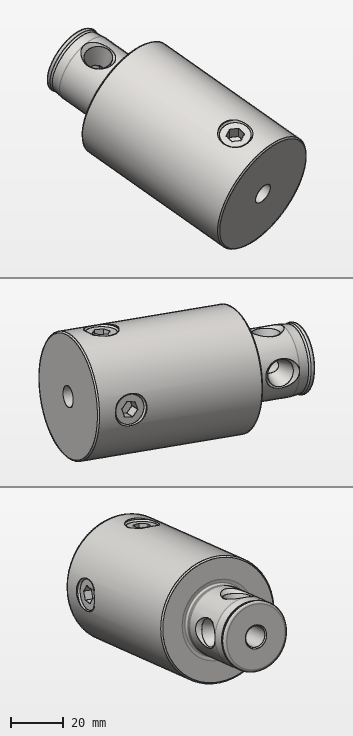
import cadquery as cq
import math

total_length = 98.0
body_radius = 25.0
body_start = 27.8
body_chamfer = 0.6

shank_radius = 13.965
rim_radius = 1.1
rim_end = 1.8
groove_end = 2.7
groove_radius = 13.3
lead_in_radius = 13.5
lead_in_end = 6.9
shank_land_end = 25.5
neck_start = 26.7
neck_radius = 13.7
relief_start = 27.2
relief_radius = 15.9
relief_fillet = 0.8

bore_radius = 4.2
bore_chamfer = 0.5

seat_x = 14.0
seat_radius = 5.44
seat_half_angle = 15.0
countersink_start = 12.25

screw_x = 83.9
screw_radius = 6.0
screw_top = 23.7
screw_length = 11.8
screw_mouth_radius = 6.7
hex_across_flats = 6.0
hex_depth = 4.9
hex_turn = -10.0

side_angles = (0, -90)


def vertical_cylinder(x, radius, bottom, top):
    """Cylinder along Z between two heights."""
    return cq.Workplane("XY", origin=(x, 0, bottom)).circle(radius).extrude(top - bottom)


def vertical_cone(x, bottom_radius, top_radius, bottom, top):
    """Truncated cone along Z between two heights."""
    cone = cq.Solid.makeCone(bottom_radius, top_radius, top - bottom, cq.Vector(x, 0, bottom))
    return cq.Workplane(obj=cone)


def axial_bore():
    """Through bore along X with a chamfered mouth in the shank face."""
    bore = cq.Workplane("YZ").circle(bore_radius).extrude(total_length)
    mouth = cq.Solid.makeCone(
        bore_radius + bore_chamfer, bore_radius, bore_chamfer, cq.Vector(0, 0, 0), cq.Vector(1, 0, 0)
    )
    return bore.union(cq.Workplane(obj=mouth))


def turned_blank():
    """Shank and body turned as one piece, with a conical relief around the shank root."""
    rim_drop = rim_radius - math.sqrt(rim_radius**2 - (rim_end - rim_radius) ** 2)
    fillet_centre_radius = neck_radius + relief_fillet
    fillet_offset = relief_fillet * math.sqrt(0.5)
    fillet_mid = (relief_start + fillet_offset, fillet_centre_radius - fillet_offset)
    profile = (
        cq.Workplane("XY")
        .lineTo(0, shank_radius - rim_radius)
        .threePointArc((rim_radius, shank_radius), (rim_end, shank_radius - rim_drop))
        .threePointArc(((rim_end + groove_end) / 2, groove_radius), (groove_end, lead_in_radius))
        .lineTo(lead_in_end, shank_radius)
        .lineTo(shank_land_end, shank_radius)
        .lineTo(neck_start, neck_radius)
        .lineTo(relief_start, neck_radius)
        .threePointArc(fillet_mid, (relief_start + relief_fillet, fillet_centre_radius))
        .lineTo(body_start, relief_radius)
        .lineTo(body_start, body_radius - body_chamfer)
        .lineTo(body_start + body_chamfer, body_radius)
        .lineTo(total_length - body_chamfer, body_radius)
        .lineTo(total_length, body_radius - body_chamfer)
        .lineTo(total_length, 0)
        .close()
    )
    return profile.revolve(360, (0, 0, 0), (1, 0, 0))


def turned_about_axis(shape, angle):
    """The shape swung about the X axis from the +Z side."""
    return shape.rotate((0, 0, 0), (1, 0, 0), angle)


def conical_seat():
    """Tapered hole from the shank surface into the bore, with a 90 degree countersink."""
    tip_radius = seat_radius - countersink_start * math.tan(math.radians(seat_half_angle))
    taper = vertical_cone(seat_x, tip_radius, seat_radius, 0, countersink_start)
    flare = shank_radius - countersink_start
    countersink = vertical_cone(seat_x, seat_radius, seat_radius + flare, countersink_start, shank_radius)
    return taper.union(countersink)


def screw_pocket():
    """Blind hole filled by the screw, with a 45 degree step to a wider mouth above its top."""
    hole = vertical_cylinder(screw_x, screw_radius, screw_top - screw_length, screw_top)
    step_top = screw_top + screw_mouth_radius - screw_radius
    step = vertical_cone(screw_x, screw_radius, screw_mouth_radius, screw_top, step_top)
    mouth = vertical_cylinder(screw_x, screw_mouth_radius, step_top, body_radius)
    return hole.union(step).union(mouth)


def make_housing():
    """Turned piece with its bore, conical seats and screw pockets."""
    housing = turned_blank().cut(axial_bore())
    for angle in side_angles:
        housing = housing.cut(turned_about_axis(conical_seat(), angle))
        housing = housing.cut(turned_about_axis(screw_pocket(), angle))
    return housing


def make_screw():
    """Set screw with a hexagon socket in its flat top."""
    screw = vertical_cylinder(screw_x, screw_radius, screw_top - screw_length, screw_top)
    across_corners = hex_across_flats / math.cos(math.radians(30))
    socket = (
        cq.Workplane("XY", origin=(screw_x, 0, screw_top - hex_depth))
        .transformed(rotate=(0, 0, hex_turn))
        .polygon(6, across_corners)
        .extrude(hex_depth)
    )
    return screw.cut(socket)


housing = make_housing()
screws = []
for angle in side_angles:
    screws.append(turned_about_axis(make_screw(), angle).val())

result = cq.Compound.makeCompound([housing.val(), *screws])